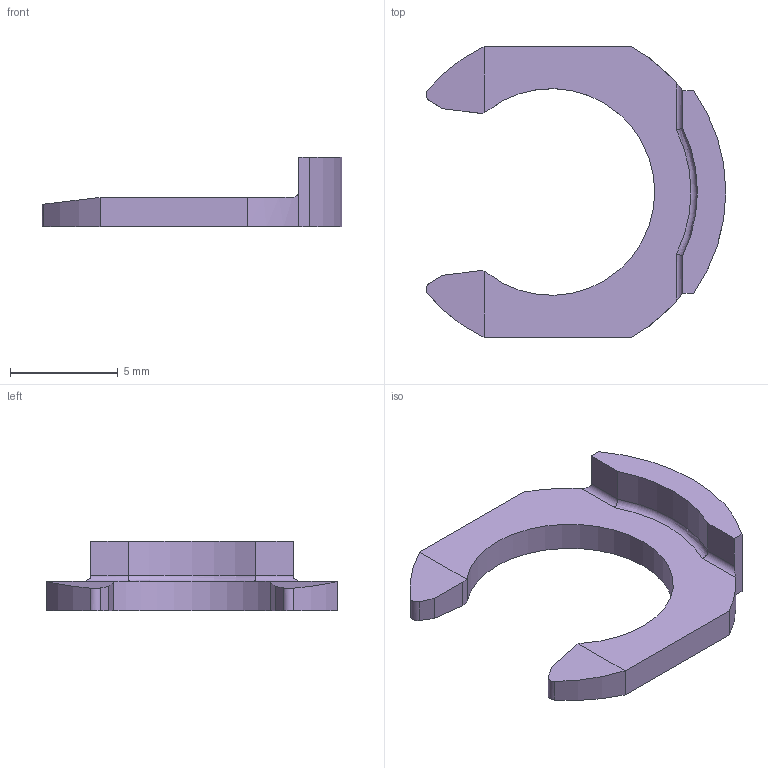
import cadquery as cq
import math

plate_thickness = 1.37
tip_thickness = 1.03
wall_height = 3.25

bore_radius = 4.8
arm_radius = 7.44
ring_width = 13.5
tip_x = -5.975

mouth_x = -3.14
throat_point = (-5.05, 3.87)
mouth_blend_radius = 0.6
tip_blend_radius = 0.33

wall_outer_radius = 8.1
wall_inner_radius = 6.78
wall_front_x = 6.1
wall_width = 9.4
wall_root_radius = 0.3

half_width = ring_width / 2
wall_half_width = wall_width / 2
back_radius = math.hypot(wall_front_x, wall_half_width)


def on_circle_at_x(radius, x):
    """Point of the upper half circle at the given X."""
    return (x, math.sqrt(radius**2 - x**2))


def on_circle_at_y(radius, y, side=1):
    """Point of the circle at the given Y, on the +X or -X side."""
    return (side * math.sqrt(radius**2 - y**2), y)


def arc_middle(radius, start, end):
    """Point halfway along the shorter arc between two points about the origin."""
    angle = (math.atan2(start[1], start[0]) + math.atan2(end[1], end[0])) / 2
    return (radius * math.cos(angle), radius * math.sin(angle))


def mirrored(point):
    """Point reflected across the XZ plane."""
    return (point[0], -point[1])


def make_plate():
    """Flat C-shaped ring, open towards -X, with rounded arm tips and mouth corners."""
    mouth = on_circle_at_x(bore_radius, mouth_x)
    tip = on_circle_at_x(arm_radius, tip_x)
    arm_corner = on_circle_at_y(arm_radius, half_width, side=-1)
    back_corner = on_circle_at_y(back_radius, half_width)
    arm_middle = arc_middle(arm_radius, tip, arm_corner)

    outline = (
        cq.Workplane("XY")
        .moveTo(*mouth)
        .lineTo(*throat_point)
        .lineTo(*tip)
        .threePointArc(arm_middle, arm_corner)
        .lineTo(*back_corner)
        .threePointArc((back_radius, 0), mirrored(back_corner))
        .lineTo(*mirrored(arm_corner))
        .threePointArc(mirrored(arm_middle), mirrored(tip))
        .lineTo(*mirrored(throat_point))
        .lineTo(*mirrored(mouth))
        .threePointArc((bore_radius, 0), mouth)
        .close()
    )
    plate = outline.extrude(plate_thickness)
    plate = round_corner_pair(plate, mouth, mouth_blend_radius)
    return round_corner_pair(plate, tip, tip_blend_radius)


def round_corner_pair(plate, corner, radius):
    """Round the vertical edge at a corner and its mirror image."""
    for x, y in (corner, mirrored(corner)):
        edge = cq.selectors.NearestToPointSelector((x, y, plate_thickness / 2))
        plate = plate.edges("|Z").edges(edge).fillet(radius)
    return plate


def make_wall():
    """Upright wall whose flat front is hollowed by an arc concentric with the bore."""
    hollow_corner = on_circle_at_x(wall_inner_radius, wall_front_x)
    front_corner = (wall_front_x, wall_half_width)
    back_corner = on_circle_at_y(wall_outer_radius, wall_half_width)

    outline = (
        cq.Workplane("XY")
        .moveTo(*hollow_corner)
        .lineTo(*front_corner)
        .lineTo(*back_corner)
        .threePointArc((wall_outer_radius, 0), mirrored(back_corner))
        .lineTo(*mirrored(front_corner))
        .lineTo(*mirrored(hollow_corner))
        .threePointArc((wall_inner_radius, 0), hollow_corner)
        .close()
    )
    return outline.extrude(wall_height)


def ring_width_block(front_x, height):
    """Block on Z = 0 as wide as the ring, from a front face to the plate's back edge."""
    length = back_radius - front_x
    return cq.Workplane("XY").center(front_x + length / 2, 0).rect(length, ring_width).extrude(height)


def make_wall_root():
    """Concave blend from the plate into the wall's front, trimmed to the plate's back edge.

    The blend is formed on a stand-in wall as wide as the ring, so that trimming
    leaves it running right up to the plate's edge at both ends.
    """
    hollow = cq.Workplane("XY").circle(wall_inner_radius).extrude(wall_height)
    long_wall = ring_width_block(wall_front_x, wall_height).cut(hollow)
    step_x = wall_front_x - 2 * wall_root_radius
    blank = ring_width_block(step_x, plate_thickness).union(long_wall)

    foot_edges = cq.selectors.BoxSelector(
        (wall_front_x - wall_root_radius / 2, -half_width, plate_thickness - wall_root_radius / 2),
        (wall_inner_radius, half_width, plate_thickness + wall_root_radius / 2),
    )
    blended = blank.edges(foot_edges).fillet(wall_root_radius)
    plate_disc = cq.Workplane("XY").circle(back_radius).extrude(plate_thickness + wall_root_radius)
    return blended.intersect(plate_disc)


def make_tip_ramp():
    """Wedge above the arms that thins them from the ends of the ring's flats to the tips."""
    ramp_start_x, _ = on_circle_at_y(arm_radius, half_width, side=-1)
    ramp = (
        cq.Workplane("XZ")
        .moveTo(ramp_start_x, plate_thickness)
        .lineTo(tip_x, tip_thickness)
        .lineTo(tip_x, plate_thickness)
        .close()
    )
    return ramp.extrude(half_width, both=True)


plate = make_plate().cut(make_tip_ramp())
result = plate.union(make_wall_root()).union(make_wall())